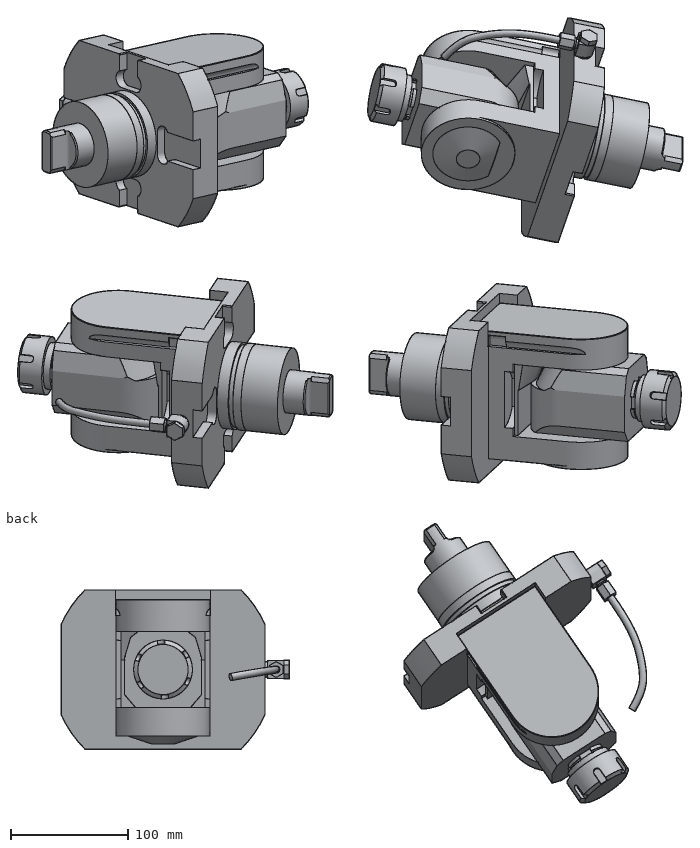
import cadquery as cq


FLANGE_WIDTH = 174.0
FLANGE_HEIGHT = 136.0
FLANGE_THICK = 27.0
FLANGE_CORNER_DIA = 190.2
KEYWAY_DEPTH = 8.0
KEYWAY_END = 38.7
KEYWAY_RELIEF_DIA = 14.5
KEYWAY_RELIEF_OFFSET = 9.5
SIDE_KEYWAY_WIDTH = 25.5
UPRIGHT_KEYWAY_WIDTH = 24.5
UPRIGHT_KEYWAY_FLARE = 0.95

SHANK_LENGTH = 53.0
SHANK_DIA = 74.5
COLLAR_DIA = 74.8
COLLAR_LENGTH = 21.0
SEAL_GROOVE_DIA = 71.0
SEAL_GROOVE_START = 9.8
SEAL_GROOVE_WIDTH = 4.0
DRIVE_DIA = 37.0
DRIVE_SHOULDER = 72.0
DRIVE_END = 90.8
TANG_THICK = 13.3
DRIVE_CHAMFER = 1.0
TANG_EDGE_BEVEL = 2.7
TANG_FLAT_HEIGHT = 28.7
TANG_ROOT_FILLET = 2.7

BODY_WIDTH = 80.0
PIVOT_Y = 97.3
BODY_FRONT = 11.5
BODY_TOP = 60.0
BODY_BOTTOM = -54.2
LID_BOTTOM = 46.0
LID_EDGE_BREAK = 0.5
LID_NOTCH_CLEARANCE = 0.4
UNDERCUT_HEIGHT = 6.0
UNDERCUT_DEPTH = 3.3
UNDERCUT_RADIUS = 8.0
SCREW_POCKET_END = 42.3
SCREW_POCKET_HEIGHT = 10.0
SCREW_POCKET_ROUND = 4.3
FORK_FLOOR = 52.3
FORK_SIDE_FLOOR = 49.0
FORK_SIDE_WALL = 4.0
RAMP_FOOT_Z = 8.0
RAMP_RIDGE_RUN = 14.4
RAMP_SIDE_RUN = 4.3
RAMP_FOOT_RUN = 5.0
RAMP_SIDE_FOOT_RUN = 0.5
RAMP_RIDGE_WIDTH = 10.8
SIDE_RECESS_DIA = 50.0
SIDE_RECESS_START = 41.5
SIDE_RECESS_DEPTH = 21.7
BASE_DISC_THICK = 2.5
CAP_RIM_DIA = 60.1
CAP_TIP_DIA = 20.0
CAP_HEIGHT = 6.8
CAP_FLAT_Y = 74.2

HEAD_FRONT = 146.8
HEAD_HALF_WIDTH = 32.8
HEAD_HALF_HEIGHT = 32.2
HEAD_UPPER_X = 27.5
HEAD_UPPER_Z = 27.4
HEAD_TOP_X = 21.5
HEAD_SIDE_TOP_Z = 10.3
HEAD_SIDE_BOTTOM_Z = -21.5
HEAD_BOTTOM_X = 23.5
HEAD_REAR_Y = 54.0
HEAD_CONE_Z = 8.0
HEAD_CONE_DIA = 76.5
HEAD_CONE_TOP_DIA = 52.8

NUT_DIA = 50.0
NUT_END = 180.2
NUT_START = 158.0
NUT_CHAMFER_LENGTH = 2.5
NUT_FACE_DIA = 42.8
NUT_SLOTS = 6
NUT_SLOT_WIDTH = 6.2
NUT_SLOT_END = 166.3
NUT_SLOT_DEPTH = 3.3
NUT_SLOT_TILT = 4.0
NUT_COLLAR_DIA = 40.0
NUT_COLLAR_START = 152.0
NOSE_DIA = 35.2
NOSE_RIM_END = 149.8
NOSE_NECK_DIA = 33.5
NOSE_NOTCH_WIDTH = 11.0
NOSE_NOTCH_DEPTH = 3.5

ELBOW_Y = 19.0
ELBOW_DIA = 15.5
ELBOW_END = 107.8
ELBOW_HEX_CORNERS = 16.0
ELBOW_HEX_LENGTH = 5.0
ELBOW_COLLAR_DIA = 13.5
ELBOW_COLLAR_LENGTH = 2.2
HOSE_X = -96.5
HOSE_DIA = 6.2
HOSE_NECK_DIA = 8.0
HOSE_NUT_COLLAR_DIA = 9.8
HOSE_NUT_COLLAR_START = 28.5
HOSE_NUT_START = 30.0
HOSE_NUT_END = 42.5
HOSE_NUT_CORNERS = 13.5
HOSE_BENDS = [
    (-96.2, 62.3, 0.0),
    (-93.0, 87.0, -0.5),
    (-85.5, 107.3, -1.5),
    (-77.5, 120.5, -3.0),
    (-67.7, 128.5, -4.5),
    (-57.7, 133.8, -6.5),
]

OVERLAP = 1.4


def block(x_range, y_range, z_range):
    """Axis-aligned box between the given limits."""
    sizes = [high - low for low, high in (x_range, y_range, z_range)]
    corner = (x_range[0], y_range[0], z_range[0])
    return cq.Workplane("XY").box(*sizes, centered=False).translate(corner)


def section_xz(y_start):
    """Sketch plane across the tool axis; negative extrusions from it run toward +Y."""
    return cq.Workplane("XZ", origin=(0, y_start, 0))


def rod_y(diameter, y_start, y_end, x=0.0):
    """Round bar parallel to the tool axis."""
    return section_xz(y_start).center(x, 0).circle(diameter / 2).extrude(y_start - y_end)


def keyway(width, flange_reach):
    """Keyway opening toward +X with two round reliefs at its inner end."""
    relief_x = KEYWAY_END + KEYWAY_RELIEF_DIA / 2
    depth = (0, KEYWAY_DEPTH)
    offset = KEYWAY_RELIEF_OFFSET
    cutter = block((relief_x, flange_reach + OVERLAP), depth, (-width / 2, width / 2))
    cutter = cutter.union(block((KEYWAY_END, relief_x), depth, (-offset, offset)))
    for side in (-1, 1):
        relief = rod_y(KEYWAY_RELIEF_DIA, 0, KEYWAY_DEPTH, relief_x)
        cutter = cutter.union(relief.translate((0, 0, side * offset)))
    return cutter


def upright_keyway():
    """Keyway opening toward +X whose mouth is flared at the flange edge."""
    edge = FLANGE_HEIGHT / 2
    half = UPRIGHT_KEYWAY_WIDTH / 2
    flare = UPRIGHT_KEYWAY_FLARE
    mouth = (
        section_xz(0)
        .polyline([(edge - flare, -half), (edge, -half - flare), (edge, half + flare), (edge - flare, half)])
        .close()
        .extrude(-KEYWAY_DEPTH)
    )
    return keyway(UPRIGHT_KEYWAY_WIDTH, edge).union(mouth)


def make_flange():
    flange = section_xz(0).rect(FLANGE_WIDTH, FLANGE_HEIGHT).extrude(-FLANGE_THICK)
    flange = flange.intersect(rod_y(FLANGE_CORNER_DIA, 0, FLANGE_THICK))
    side_keyway = keyway(SIDE_KEYWAY_WIDTH, FLANGE_WIDTH / 2)
    for angle in (0, 180):
        flange = flange.cut(side_keyway.rotate((0, 0, 0), (0, 1, 0), angle))
    flared_keyway = upright_keyway()
    for angle in (90, 270):
        flange = flange.cut(flared_keyway.rotate((0, 0, 0), (0, 1, 0), angle))
    notch_half = BODY_WIDTH / 2 + LID_NOTCH_CLEARANCE
    notch = block(
        (-notch_half, notch_half),
        (BODY_FRONT - LID_NOTCH_CLEARANCE, FLANGE_THICK),
        (LID_BOTTOM, FLANGE_HEIGHT / 2),
    )
    return flange.cut(notch)


def make_shank():
    shank = rod_y(COLLAR_DIA, -COLLAR_LENGTH, 0)
    groove_end = SEAL_GROOVE_START + SEAL_GROOVE_WIDTH
    groove = rod_y(COLLAR_DIA, -groove_end, -SEAL_GROOVE_START)
    groove = groove.cut(rod_y(SEAL_GROOVE_DIA, -groove_end, -SEAL_GROOVE_START))
    return shank.cut(groove).union(rod_y(SHANK_DIA, -SHANK_LENGTH, -COLLAR_LENGTH))


def make_drive():
    """Drive shaft with a chamfered shoulder and a flat tang with filleted roots."""
    tang = rod_y(DRIVE_DIA, -DRIVE_END, -DRIVE_SHOULDER).faces("<Y").chamfer(DRIVE_CHAMFER)
    half = TANG_THICK / 2
    radius = DRIVE_DIA / 2
    fillet = TANG_ROOT_FILLET
    root_x = (-half - fillet, half + fillet)
    plain_shaft = rod_y(DRIVE_DIA, -DRIVE_SHOULDER, -SHANK_LENGTH)
    root = plain_shaft.intersect(block(root_x, (-DRIVE_SHOULDER, -SHANK_LENGTH), (-radius, radius)))
    shaft = plain_shaft.faces("<Y").chamfer(DRIVE_CHAMFER).union(root)
    for side in (-1, 1):
        cheek = (
            cq.Workplane("XY", origin=(0, 0, -radius))
            .moveTo(side * (half - DRIVE_CHAMFER), -DRIVE_END)
            .lineTo(side * half, -DRIVE_END + DRIVE_CHAMFER)
            .lineTo(side * half, -DRIVE_SHOULDER - fillet)
            .radiusArc((side * (half + fillet), -DRIVE_SHOULDER), side * fillet)
            .lineTo(side * radius, -DRIVE_SHOULDER)
            .lineTo(side * radius, -DRIVE_END)
            .close()
            .extrude(DRIVE_DIA)
        )
        tang = tang.cut(cheek)
        for end in (-1, 1):
            edge_bevel = (
                section_xz(-DRIVE_SHOULDER - fillet)
                .moveTo(side * half, end * TANG_FLAT_HEIGHT / 2)
                .lineTo(side * half, end * radius)
                .lineTo(side * (half - TANG_EDGE_BEVEL), end * radius)
                .close()
                .extrude(DRIVE_END - DRIVE_SHOULDER)
            )
            tang = tang.cut(edge_bevel)
    return shaft.union(tang)


def rounded_tongue(y_start, z_low, z_high):
    """Slab of body width that ends in a half round about the pivot."""
    half = BODY_WIDTH / 2
    slab = block((-half, half), (y_start, PIVOT_Y), (z_low, z_high))
    return slab.union(pivot_disc(BODY_WIDTH, z_low, z_high))


def pivot_disc(diameter, z_low, z_high):
    """Disc about the pivot axis."""
    plane = cq.Workplane("XY", origin=(0, PIVOT_Y, z_low))
    return plane.circle(diameter / 2).extrude(z_high - z_low)


def lid_undercuts(side):
    """Coved lower lid edge and the screw pocket on one side of the lid."""
    outer = side * BODY_WIDTH / 2
    inner = outer - side * UNDERCUT_DEPTH
    undercut = (
        section_xz(FLANGE_THICK)
        .moveTo(inner, LID_BOTTOM)
        .lineTo(outer, LID_BOTTOM)
        .lineTo(outer, LID_BOTTOM + UNDERCUT_HEIGHT)
        .radiusArc((inner, LID_BOTTOM), -side * UNDERCUT_RADIUS)
        .close()
        .extrude(FLANGE_THICK - PIVOT_Y - BODY_WIDTH / 2)
    )
    pocket_x = sorted((outer - side * SCREW_POCKET_ROUND, outer))
    pocket_y = (FLANGE_THICK, SCREW_POCKET_END)
    pocket_top = LID_BOTTOM + SCREW_POCKET_HEIGHT
    round_z = pocket_top - SCREW_POCKET_ROUND
    pocket = block(pocket_x, pocket_y, (LID_BOTTOM, round_z))
    cove = rod_y(2 * SCREW_POCKET_ROUND, *pocket_y, outer).translate((0, 0, round_z))
    pocket = pocket.union(cove.intersect(block(pocket_x, pocket_y, (round_z, pocket_top))))
    return undercut.union(pocket)


def make_fork_ramp():
    """Tapered rib in the upper rear corner of the fork, highest in the middle."""
    half = BODY_WIDTH / 2 - FORK_SIDE_WALL
    ridge = RAMP_RIDGE_WIDTH / 2

    def rib_outline(side_run, ridge_run):
        return [
            (-half, FORK_FLOOR),
            (half, FORK_FLOOR),
            (half, FORK_FLOOR + side_run),
            (ridge, FORK_FLOOR + ridge_run),
            (-ridge, FORK_FLOOR + ridge_run),
            (-half, FORK_FLOOR + side_run),
        ]

    return (
        cq.Workplane("XY", origin=(0, 0, RAMP_FOOT_Z))
        .polyline(rib_outline(RAMP_SIDE_FOOT_RUN, RAMP_FOOT_RUN))
        .close()
        .workplane(offset=HEAD_HALF_HEIGHT - RAMP_FOOT_Z)
        .polyline(rib_outline(RAMP_SIDE_RUN, RAMP_RIDGE_RUN))
        .close()
        .loft(ruled=True)
    )


def make_fork_gap():
    """Gap between the fork arms, with side steps and open-sided round recesses."""
    half = BODY_WIDTH / 2
    inner = half - FORK_SIDE_WALL
    gap_z = (-HEAD_HALF_HEIGHT, HEAD_HALF_HEIGHT)
    y_end = PIVOT_Y + BODY_WIDTH
    gap = block((-half, half), (FORK_FLOOR, y_end), gap_z).cut(make_fork_ramp())
    for side in (-1, 1):
        gap = gap.union(block(sorted((side * inner, side * half)), (FORK_SIDE_FLOOR, y_end), gap_z))
        recess = rod_y(SIDE_RECESS_DIA, SIDE_RECESS_START, FORK_SIDE_FLOOR, side * half)
        recess_x = sorted((side * (half - SIDE_RECESS_DEPTH), side * half))
        recess_z = (-SIDE_RECESS_DIA / 2, SIDE_RECESS_DIA / 2)
        gap = gap.union(recess.intersect(block(recess_x, (SIDE_RECESS_START, FORK_SIDE_FLOOR), recess_z)))
    return gap


def make_body():
    lid = rounded_tongue(BODY_FRONT, LID_BOTTOM, BODY_TOP).faces(">Z").edges().chamfer(LID_EDGE_BREAK)
    for side in (-1, 1):
        lid = lid.cut(lid_undercuts(side))
    body = rounded_tongue(FLANGE_THICK, BODY_BOTTOM, LID_BOTTOM).cut(make_fork_gap())
    base_z = BODY_BOTTOM - BASE_DISC_THICK
    cap = (
        cq.Workplane("XY", origin=(0, PIVOT_Y, base_z))
        .circle(CAP_RIM_DIA / 2)
        .workplane(offset=-CAP_HEIGHT)
        .circle(CAP_TIP_DIA / 2)
        .loft()
    )
    cap_radius = CAP_RIM_DIA / 2
    cap_y = (CAP_FLAT_Y, PIVOT_Y + cap_radius)
    cap = cap.intersect(block((-cap_radius, cap_radius), cap_y, (base_z - CAP_HEIGHT, base_z)))
    return body.union(lid).union(pivot_disc(BODY_WIDTH, base_z, BODY_BOTTOM)).union(cap)


def make_head():
    """Faceted head with a round rear end and a cone about the pivot above it."""
    right_side = [
        (HEAD_BOTTOM_X, -HEAD_HALF_HEIGHT),
        (HEAD_HALF_WIDTH, HEAD_SIDE_BOTTOM_Z),
        (HEAD_HALF_WIDTH, HEAD_SIDE_TOP_Z),
        (HEAD_UPPER_X, HEAD_UPPER_Z),
        (HEAD_TOP_X, HEAD_HALF_HEIGHT),
    ]
    left_side = [(-x, z) for x, z in reversed(right_side)]
    prism = section_xz(HEAD_REAR_Y).polyline(right_side + left_side).close().extrude(HEAD_REAR_Y - HEAD_FRONT)

    round_y = HEAD_REAR_Y + HEAD_HALF_WIDTH
    width = (-HEAD_HALF_WIDTH, HEAD_HALF_WIDTH)
    height = (-HEAD_HALF_HEIGHT, HEAD_HALF_HEIGHT)
    round_end = (
        cq.Workplane("XY", origin=(0, round_y, -HEAD_HALF_HEIGHT))
        .circle(HEAD_HALF_WIDTH)
        .extrude(2 * HEAD_HALF_HEIGHT)
    )
    prism = prism.intersect(round_end.union(block(width, (round_y, HEAD_FRONT), height)))

    cone = (
        cq.Workplane("XY", origin=(0, PIVOT_Y, HEAD_CONE_Z))
        .circle(HEAD_CONE_DIA / 2)
        .workplane(offset=HEAD_HALF_HEIGHT - HEAD_CONE_Z)
        .circle(HEAD_CONE_TOP_DIA / 2)
        .loft()
    )
    waste = block(width, (HEAD_REAR_Y, PIVOT_Y), (HEAD_CONE_Z, HEAD_HALF_HEIGHT)).cut(cone)
    return prism.cut(waste)


def make_nut():
    """Spindle nose and slotted collet nut."""
    nut = rod_y(NUT_DIA, NUT_START, NUT_END - NUT_CHAMFER_LENGTH)
    bevel = (
        section_xz(NUT_END - NUT_CHAMFER_LENGTH)
        .circle(NUT_DIA / 2)
        .workplane(offset=-NUT_CHAMFER_LENGTH)
        .circle(NUT_FACE_DIA / 2)
        .loft()
    )
    nut = nut.union(bevel)
    slot_floor = NUT_DIA / 2 - NUT_SLOT_DEPTH
    slot_round_y = NUT_SLOT_END + NUT_SLOT_WIDTH / 2
    half = NUT_SLOT_WIDTH / 2
    slot = block((-half, half), (slot_round_y, NUT_END), (slot_floor, NUT_DIA / 2))
    slot = slot.union(
        cq.Workplane("XY", origin=(0, slot_round_y, slot_floor)).circle(half).extrude(NUT_SLOT_DEPTH)
    )
    for index in range(NUT_SLOTS):
        angle = NUT_SLOT_TILT + index * 360 / NUT_SLOTS
        nut = nut.cut(slot.rotate((0, 0, 0), (0, 1, 0), angle))

    nose = rod_y(NOSE_DIA, HEAD_FRONT, NOSE_RIM_END)
    nose = nose.union(rod_y(NOSE_NECK_DIA, NOSE_RIM_END, NUT_COLLAR_START))
    notch_half = NOSE_NOTCH_WIDTH / 2
    notch = block(
        (-notch_half, notch_half),
        (HEAD_FRONT, NUT_COLLAR_START),
        (NOSE_DIA / 2 - NOSE_NOTCH_DEPTH, NOSE_DIA / 2),
    )
    for angle in (0, 90, 180, 270):
        nose = nose.cut(notch.rotate((0, 0, 0), (0, 1, 0), angle))
    return nut.union(nose).union(rod_y(NUT_COLLAR_DIA, NUT_COLLAR_START, NUT_START))


def make_coolant_line():
    """Elbow fitting on the flange edge with a hose nut and a bent hose."""
    elbow_plane = cq.Workplane("YZ", origin=(-ELBOW_END, ELBOW_Y, 0))
    hex_plane = elbow_plane.transformed(rotate=(0, 0, 90))
    elbow = hex_plane.polygon(6, ELBOW_HEX_CORNERS).extrude(ELBOW_HEX_LENGTH)
    collar_x = ELBOW_END - FLANGE_WIDTH / 2 - ELBOW_COLLAR_LENGTH
    radius = ELBOW_DIA / 2
    barrel_plane = elbow_plane.workplane(offset=ELBOW_HEX_LENGTH)
    barrel = barrel_plane.circle(radius).extrude(collar_x - ELBOW_HEX_LENGTH)
    collar_plane = elbow_plane.workplane(offset=collar_x)
    collar = collar_plane.circle(ELBOW_COLLAR_DIA / 2).extrude(ELBOW_COLLAR_LENGTH + OVERLAP)
    elbow = elbow.union(barrel).union(collar)
    square_x = (ELBOW_HEX_LENGTH - ELBOW_END, collar_x - ELBOW_END)
    elbow = elbow.union(block(square_x, (ELBOW_Y, ELBOW_Y + radius), (-radius, radius)))
    neck = rod_y(HOSE_NECK_DIA, ELBOW_Y, HOSE_NUT_START, HOSE_X)
    neck = neck.union(rod_y(HOSE_NUT_COLLAR_DIA, HOSE_NUT_COLLAR_START, HOSE_NUT_START, HOSE_X))
    nut = (
        section_xz(HOSE_NUT_START)
        .center(HOSE_X, 0)
        .transformed(rotate=(0, 0, 90))
        .polygon(6, HOSE_NUT_CORNERS)
        .extrude(HOSE_NUT_START - HOSE_NUT_END)
    )
    start = (HOSE_X, HOSE_NUT_END - OVERLAP, 0)
    path = cq.Workplane("XY").spline([start] + HOSE_BENDS)
    hose = section_xz(start[1]).center(HOSE_X, 0).circle(HOSE_DIA / 2).sweep(path)
    return elbow.union(neck).union(nut).union(hose)


result = (
    make_flange()
    .union(make_shank())
    .union(make_drive())
    .union(make_body())
    .union(make_head())
    .union(make_nut())
    .union(make_coolant_line())
)